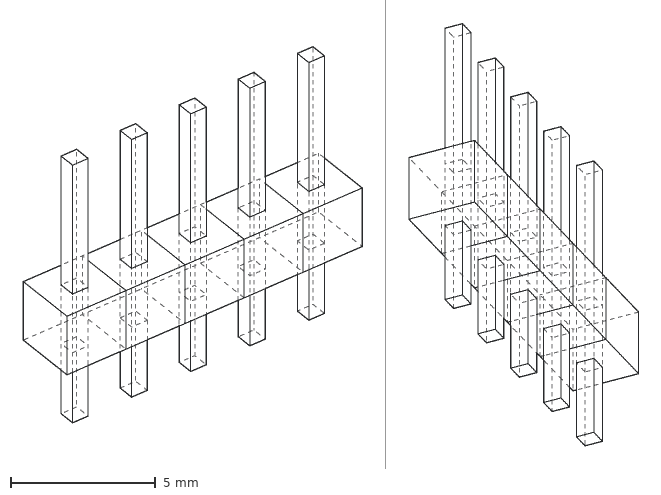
import cadquery as cq

pin_count = 5
total_length = 12.7
pitch = total_length / pin_count
housing_height = 2.5
pin_width = 0.67
pin_length = 11.0
pin_tail = 3.0


def make_housing(y):
    """Square block at y, with its underside on Z = 0 and a square through hole for its pin."""
    block = cq.Workplane("XY").center(0, y).rect(pitch, pitch).extrude(housing_height)
    hole = cq.Workplane("XY").center(0, y).rect(pin_width, pin_width).extrude(housing_height)
    return block.cut(hole)


def make_pin(y):
    """Straight square pin at y, passing through the housing and out both ends."""
    return (
        cq.Workplane("XY", origin=(0, y, -pin_tail))
        .rect(pin_width, pin_width)
        .extrude(pin_length)
    )


bodies = []
for index in range(pin_count):
    y = (index - (pin_count - 1) / 2) * pitch
    bodies.append(make_housing(y).val())
    bodies.append(make_pin(y).val())

result = cq.Compound.makeCompound(bodies)